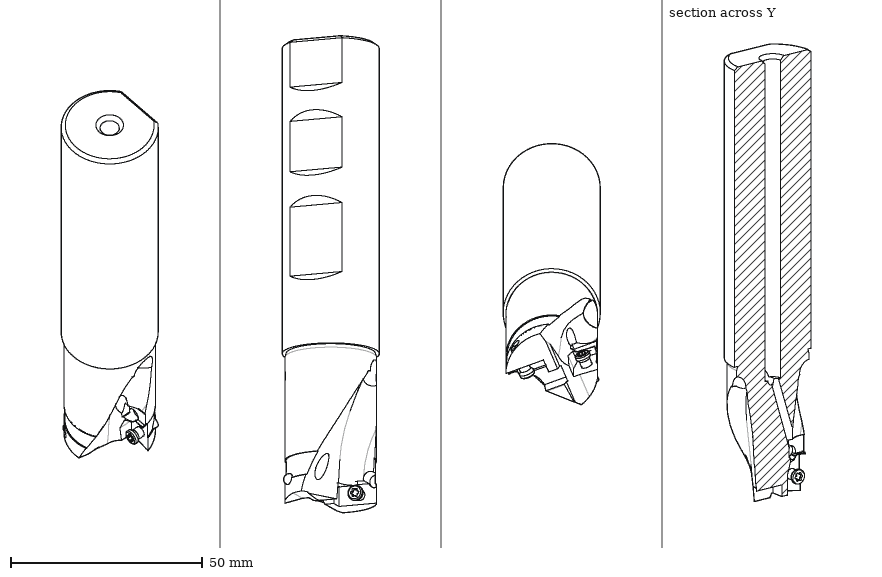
import cadquery as cq
import math

TOTAL_LENGTH = 122.7
SHANK_RADIUS = 12.7
SHANK_BOTTOM = 40.0
TOP_CHAMFER_HEIGHT = 0.8
TOP_CHAMFER_WIDTH = 1.1

NECK_RADIUS = 12.0
BAND_RADIUS = 11.7
UNDERCUT_RADIUS = 11.7
UNDERCUT_HEIGHT = 1.0
BAND_TOP = 11.3
BAND_BOTTOM = 5.4

FLAT_OFFSET = 10.4
FLAT_RUNOUT = 2.0
FLATS = [(59.2, 77.7), (87.2, 100.7), (109.9, TOTAL_LENGTH)]

BORE_RADIUS = 2.5
BORE_MOUTH_RADIUS = 3.6
BORE_BOTTOM = 34.0
COOLANT_RADIUS = 1.6
DUCT_START = BORE_BOTTOM + 1.5
COOLANT_DUCTS = [
    ((-0.6, 0.9, DUCT_START), (-1.0, 9.8, 4.0)),
    ((0.1, -1.1, DUCT_START), (7.4, -1.0, 12.0)),
]

FLUTE_SECTIONS = [
    (-1.0, -1.0, 3.9, -3.0),
    (9.0, -1.1, 3.9, -4.0),
    (18.0, -2.3, 3.7, -5.2),
    (27.0, -5.3, 1.8, -7.5),
    (34.0, -6.6, -0.5, -8.6),
]
INNER_FLUTE_EDGES = [70.0, 88.0, 115.0, 142.0, 168.0]
OUTER_FLUTE_EDGES = [95.0, 116.0, 135.0, 150.0, 168.0]
FLUTE_REACH = 15.3
FLUTE_OVERRUN = 3.0
FLUTE_END_RADIUS = 3.9
FLUTE_END_CENTRE = (-12.3, -2.0, 33.8)

OUTER_SEAT_Y = 3.2
OUTER_OPENING_Y = -4.0
OUTER_OUTLINE = [
    (4.9, 0.0),
    (SHANK_RADIUS, 0.0),
    (SHANK_RADIUS, 10.7),
    (8.9, 11.2),
    (7.7, 10.0),
    (5.9, 10.0),
    (4.9, 6.5),
]
OUTER_RELIEF_RADIUS = 1.7
OUTER_RELIEF_CENTRE = (7.3, 12.0)
OUTER_SCREW = (8.6, 5.4)

CLEARANCE_Y = 2.0
CLEARANCE_LEFT = 5.5
CLEARANCE_TOP = 16.0

SEAT_END_RELIEF = [(2.0, 0.0), (2.6, 1.1), (6.6, 1.1), (SHANK_RADIUS, 0.0)]
BACK_END_RELIEF = [(4.0, 0.0), (SHANK_RADIUS, 1.1), (SHANK_RADIUS, 0.0)]

INNER_SEAT_Y = -4.6
INNER_OPENING_Y = -0.9
INNER_RIGHT = -0.5
INNER_HEIGHT = 5.4
INNER_SCREW = (-6.3, 2.5)
INNER_RELIEF_RADIUS = 1.8
INNER_RELIEF_CENTRE = (-10.6, 6.0)
INNER_RELIEF_BACK_Y = -5.5
INNER_RELIEF_FRONT_Y = 5.0

GASH_RIGHT = 3.0
GASH_TOP_Y = 3.8
GASH_HEIGHT = 4.3

SCREW_HEAD_RADIUS = 2.0
SCREW_SHANK_RADIUS = 1.45
SCREW_LENGTH = 8.5
SCREW_STANDOUT = 3.6
HEAD_HEIGHT = 1.0
HEAD_CONE_HEIGHT = 0.8
HEAD_EDGE_CHAMFER = 0.3
SOCKET_RADIUS = 0.8
SOCKET_LOBE_RADIUS = 0.35
SOCKET_LOBES = 6
SOCKET_DEPTH = 1.0


def box_between(low, high):
    """Box between two opposite corners."""
    size = [b - a for a, b in zip(low, high)]
    return cq.Workplane("XY").box(*size, centered=False).translate(low)


def turned_blank():
    """Shank, neck and end band as one revolved profile."""
    return (
        cq.Workplane("XZ")
        .polyline(
            [
                (0, 0),
                (NECK_RADIUS, 0),
                (NECK_RADIUS, BAND_BOTTOM),
                (BAND_RADIUS, BAND_BOTTOM),
                (BAND_RADIUS, BAND_TOP),
                (NECK_RADIUS, BAND_TOP),
                (NECK_RADIUS, SHANK_BOTTOM - UNDERCUT_HEIGHT),
                (UNDERCUT_RADIUS, SHANK_BOTTOM),
                (SHANK_RADIUS, SHANK_BOTTOM),
                (SHANK_RADIUS, TOTAL_LENGTH - TOP_CHAMFER_HEIGHT),
                (SHANK_RADIUS - TOP_CHAMFER_WIDTH, TOTAL_LENGTH),
                (0, TOTAL_LENGTH),
            ]
        )
        .close()
        .revolve(360, (0, 0, 0), (0, 1, 0))
    )


def clamping_flat(bottom, top):
    """Cutter for one flat on the +Y side, with run-outs that widen outwards."""
    depth = SHANK_RADIUS - FLAT_OFFSET
    return (
        cq.Workplane("YZ")
        .polyline(
            [
                (FLAT_OFFSET, bottom),
                (FLAT_OFFSET, top),
                (FLAT_OFFSET + depth, top + FLAT_RUNOUT),
                (FLAT_OFFSET + depth, bottom - FLAT_RUNOUT),
            ]
        )
        .close()
        .extrude(SHANK_RADIUS, both=True)
    )


def flat_edge_chamfer():
    """Wedge that carries the top chamfer along the uppermost flat."""
    return (
        cq.Workplane("YZ")
        .polyline(
            [
                (FLAT_OFFSET, TOTAL_LENGTH - TOP_CHAMFER_HEIGHT),
                (FLAT_OFFSET, TOTAL_LENGTH),
                (FLAT_OFFSET - TOP_CHAMFER_HEIGHT, TOTAL_LENGTH),
            ]
        )
        .close()
        .extrude(SHANK_RADIUS, both=True)
    )


def coolant_bore():
    """Axial bore with a countersunk mouth and its branching ducts."""
    mouth_depth = BORE_MOUTH_RADIUS - BORE_RADIUS
    bore = (
        cq.Workplane("XZ")
        .polyline(
            [
                (0, BORE_BOTTOM),
                (BORE_RADIUS, BORE_BOTTOM),
                (BORE_RADIUS, TOTAL_LENGTH - mouth_depth),
                (BORE_MOUTH_RADIUS, TOTAL_LENGTH),
                (0, TOTAL_LENGTH),
            ]
        )
        .close()
        .revolve(360, (0, 0, 0), (0, 1, 0))
    )
    for start, end in COOLANT_DUCTS:
        path = cq.Vector(*end) - cq.Vector(*start)
        duct = cq.Solid.makeCylinder(COOLANT_RADIUS, path.Length, cq.Vector(*start), path)
        bore = bore.union(cq.Workplane(duct))
    return bore


def flute_section(height, wall_y, root_y, root_x, edge_angle):
    """Closed section of a flute: wall, root arc, floor, then round the outside."""
    radius = root_y - wall_y
    centre_x = root_x - radius
    diagonal = radius * math.sqrt(0.5)
    edge_x = NECK_RADIUS * math.cos(math.radians(edge_angle))
    edge_y = NECK_RADIUS * math.sin(math.radians(edge_angle))
    floor_length = math.hypot(edge_x - root_x, edge_y - root_y)
    stretch = 1 + FLUTE_OVERRUN / floor_length
    floor_end = (root_x + (edge_x - root_x) * stretch, root_y + (edge_y - root_y) * stretch)
    section = (
        cq.Workplane("XY", origin=(0, 0, height))
        .moveTo(-FLUTE_REACH, wall_y)
        .lineTo(centre_x, wall_y)
        .threePointArc((centre_x + diagonal, root_y - diagonal), (root_x, root_y))
        .lineTo(*floor_end)
        .lineTo(-FLUTE_REACH, floor_end[1])
        .close()
    )
    return section.val()


def flute(edge_angles):
    """Cutters for a flute on the -X side: a lofted channel and a ball at its upper end."""
    wires = [
        flute_section(*section, angle) for section, angle in zip(FLUTE_SECTIONS, edge_angles)
    ]
    channel = cq.Workplane(cq.Solid.makeLoft(wires))
    end_ball = cq.Workplane("XY").sphere(FLUTE_END_RADIUS).translate(FLUTE_END_CENTRE)
    return channel, end_ball


def half_turn(shape):
    """Turn a shape half round the Z axis."""
    return shape.rotate((0, 0, 0), (0, 0, 1), 180)


def outer_pocket():
    """Upright pocket with its corner relief and the flat clearance above it."""
    depth = OUTER_SEAT_Y - OUTER_OPENING_Y
    pocket = (
        cq.Workplane("XZ", origin=(0, OUTER_SEAT_Y, 0))
        .polyline(OUTER_OUTLINE)
        .close()
        .extrude(depth)
    )
    relief_x, relief_z = OUTER_RELIEF_CENTRE
    relief = (
        cq.Workplane("XZ", origin=(relief_x, OUTER_SEAT_Y, relief_z))
        .circle(OUTER_RELIEF_RADIUS)
        .extrude(depth)
    )
    clearance = box_between(
        (CLEARANCE_LEFT, OUTER_OPENING_Y, BAND_TOP),
        (SHANK_RADIUS, CLEARANCE_Y, CLEARANCE_TOP),
    )
    return pocket.union(relief).union(clearance)


def outer_end_relief():
    """Sloping cuts that lift the end face under the outer seat and behind it."""
    under_seat = (
        cq.Workplane("XZ").polyline(SEAT_END_RELIEF).close().extrude(SHANK_RADIUS, both=True)
    )
    behind_seat = (
        cq.Workplane("YZ").polyline(BACK_END_RELIEF).close().extrude(SHANK_RADIUS, both=True)
    )
    return under_seat.union(behind_seat)


def inner_pocket():
    """Pocket across the end with its corner relief and the gash in front of it."""
    pocket = box_between(
        (-SHANK_RADIUS, INNER_SEAT_Y, 0),
        (INNER_RIGHT, INNER_OPENING_Y, INNER_HEIGHT),
    )
    gash = box_between(
        (-SHANK_RADIUS, INNER_OPENING_Y, 0),
        (GASH_RIGHT, GASH_TOP_Y, GASH_HEIGHT),
    )
    relief_x, relief_z = INNER_RELIEF_CENTRE
    relief = (
        cq.Workplane("XZ", origin=(relief_x, INNER_RELIEF_FRONT_Y, relief_z))
        .circle(INNER_RELIEF_RADIUS)
        .extrude(INNER_RELIEF_FRONT_Y - INNER_RELIEF_BACK_Y)
    )
    return pocket.union(gash).union(relief)


def screw_hole():
    """Screw hole along +Y from a seat at Y = 0 out through the neck."""
    return cq.Workplane("XZ").circle(SCREW_SHANK_RADIUS).extrude(-SHANK_RADIUS)


def insert_screw():
    """Screw along +Y whose head stands clear of a seat at Y = 0."""
    cone_end = HEAD_HEIGHT + HEAD_CONE_HEIGHT
    blank = (
        cq.Workplane("XY")
        .polyline(
            [
                (0, 0),
                (SCREW_HEAD_RADIUS - HEAD_EDGE_CHAMFER, 0),
                (SCREW_HEAD_RADIUS, HEAD_EDGE_CHAMFER),
                (SCREW_HEAD_RADIUS, HEAD_HEIGHT),
                (SCREW_SHANK_RADIUS, cone_end),
                (SCREW_SHANK_RADIUS, SCREW_LENGTH),
                (0, SCREW_LENGTH),
            ]
        )
        .close()
        .revolve(360, (0, 0, 0), (0, 1, 0))
    )
    socket = cq.Workplane("XZ").circle(SOCKET_RADIUS).extrude(-SOCKET_DEPTH)
    lobes = (
        cq.Workplane("XZ")
        .polarArray(SOCKET_RADIUS, 0, 360, SOCKET_LOBES)
        .circle(SOCKET_LOBE_RADIUS)
        .extrude(-SOCKET_DEPTH)
    )
    return blank.cut(socket.union(lobes)).translate((0, -SCREW_STANDOUT, 0))


def at_outer_seat(shape):
    """Move a screw or its hole from a seat at Y = 0 to the outer seat."""
    x, z = OUTER_SCREW
    return shape.translate((x, OUTER_SEAT_Y, z))


def at_inner_seat(shape):
    """Turn a screw or its hole round and move it to the inner seat."""
    x, z = INNER_SCREW
    return half_turn(shape).translate((x, INNER_SEAT_Y, z))


SEAT_PLACEMENTS = [at_outer_seat, at_inner_seat]


def cutter_body():
    """Shank and fluted neck with both pockets."""
    tool = turned_blank().cut(flat_edge_chamfer())
    for bottom, top in FLATS:
        tool = tool.cut(clamping_flat(bottom, top))
    for cutter in flute(INNER_FLUTE_EDGES):
        tool = tool.cut(cutter)
    for cutter in flute(OUTER_FLUTE_EDGES):
        tool = tool.cut(half_turn(cutter))
    tool = tool.cut(coolant_bore())
    tool = tool.cut(outer_pocket()).cut(outer_end_relief()).cut(inner_pocket())
    for place in SEAT_PLACEMENTS:
        tool = tool.cut(place(screw_hole()))
    return tool


body = cutter_body().solids()
screws = [place(insert_screw()).solids() for place in SEAT_PLACEMENTS]
result = cq.Compound.makeCompound([body.val(), *[screw.val() for screw in screws]])